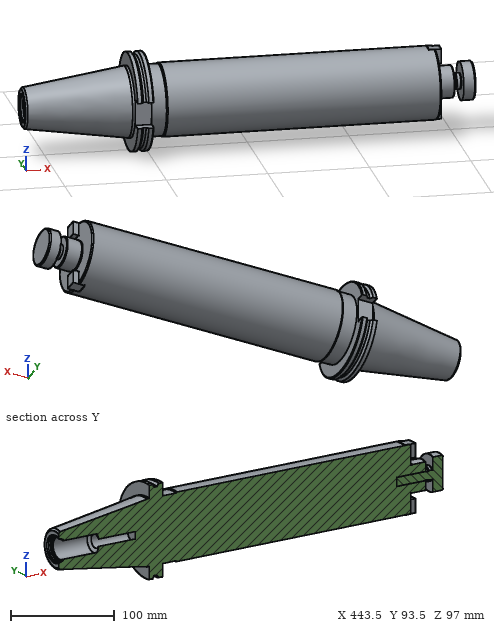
import cadquery as cq
import math

GAUGE_X = 102.0
FLANGE_START = 104.5
FLANGE_END = 120.5
GROOVE_CENTRE = 112.2
BODY_START = 135.5
BODY_END = 406.5
ARBOR_END = 423.5
COLLAR_START = 426.5
HEAD_START = 431.5
TOOL_END = 443.5

GAUGE_DIA = 70.0
TAPER_RATIO = 7 / 24
TAPER_EDGE = 1.8
PILOT_DIA = 25.0
PILOT_DEPTH = 5.5
THREAD_DIA = 22.0
THREAD_DEPTH = 44.5
THREAD_CONE = 2.0
BORE_DIA = 14.0
BORE_DEPTH = 88.7
MOUTH_DIA = 28.5
MOUTH_CHAMFER_DEPTH = 1.5
SOCKET_RECESS_DIA = 26.0
SOCKET_RECESS_DEPTH = 3.5

FLANGE_DIA = 97.0
FLANGE_CHAMFER = 1.0
GROOVE_DIA = 91.5
GROOVE_FLOOR = 2.5
GROOVE_WALL_ANGLE = 35
SLOT_WIDTH = 25.7
SLOT_FLOOR_FRONT = 35.5
SLOT_FLOOR_BACK = 37.5

SHANK_DIA = 70.5
BODY_DIA = 72.5
BODY_CHAMFER = 1.5
ARBOR_DIA = 32.0
ARBOR_CHAMFER = 1.0
UNDERCUT_DIA = 31.0
UNDERCUT_WIDTH = 1.5

KEY_LENGTH = 12.5
KEY_WIDTH = 12.0
KEY_START = 399.5
KEY_INNER = 21.0
KEY_OUTER = 35.5

SCREW_THREAD_DIA = 15.0
COLLAR_DIA = 16.0
COLLAR_BEVEL = 1.0
SCREW_START = 390.5
HEAD_DIA = 38.0
HEAD_CHAMFER = 1.5


def revolve_about_x(points):
    """Solid of revolution about X from (x, radius) points."""
    return cq.Workplane("XY").polyline(points).close().revolve(360, (0, 0, 0), (1, 0, 0))


def cylinder_x(start, end, diameter):
    return cq.Workplane("YZ", origin=(start, 0, 0)).circle(diameter / 2).extrude(end - start)


def make_blank():
    """Turned outline of the holder, before grooves, slots and holes."""
    small_radius = (GAUGE_DIA - GAUGE_X * TAPER_RATIO) / 2
    flange_radius = FLANGE_DIA / 2
    body_radius = BODY_DIA / 2
    arbor_radius = ARBOR_DIA / 2
    return revolve_about_x([
        (0, 0),
        (0, small_radius - TAPER_EDGE),
        (TAPER_EDGE, small_radius + TAPER_EDGE * TAPER_RATIO / 2),
        (GAUGE_X, GAUGE_DIA / 2),
        (GAUGE_X, SHANK_DIA / 2),
        (FLANGE_START, SHANK_DIA / 2),
        (FLANGE_START, flange_radius),
        (FLANGE_END - FLANGE_CHAMFER, flange_radius),
        (FLANGE_END, flange_radius - FLANGE_CHAMFER),
        (FLANGE_END, SHANK_DIA / 2),
        (BODY_START, SHANK_DIA / 2),
        (BODY_START + BODY_CHAMFER, body_radius),
        (BODY_END - BODY_CHAMFER, body_radius),
        (BODY_END, body_radius - BODY_CHAMFER),
        (BODY_END, UNDERCUT_DIA / 2),
        (BODY_END + UNDERCUT_WIDTH, UNDERCUT_DIA / 2),
        (BODY_END + UNDERCUT_WIDTH, arbor_radius),
        (ARBOR_END - ARBOR_CHAMFER, arbor_radius),
        (ARBOR_END, arbor_radius - ARBOR_CHAMFER),
        (ARBOR_END, 0),
    ])


def make_groove():
    """Ring with sloping walls that cuts the gripper groove."""
    floor_half = GROOVE_FLOOR / 2
    depth = (FLANGE_DIA - GROOVE_DIA) / 2
    top_half = floor_half + depth * math.tan(math.radians(GROOVE_WALL_ANGLE))
    return revolve_about_x([
        (GROOVE_CENTRE - floor_half, GROOVE_DIA / 2),
        (GROOVE_CENTRE - top_half, FLANGE_DIA / 2),
        (GROOVE_CENTRE + top_half, FLANGE_DIA / 2),
        (GROOVE_CENTRE + floor_half, GROOVE_DIA / 2),
    ])


def make_flange_slot(side, floor):
    """Drive slot through the flange on the given Y side (-1 or +1)."""
    depth = FLANGE_DIA / 2 - floor
    width = FLANGE_END - FLANGE_START
    centre = ((FLANGE_START + FLANGE_END) / 2, side * (floor + depth / 2), 0)
    return cq.Workplane("XY").box(width, depth, SLOT_WIDTH).translate(centre)


def make_socket():
    """Stepped draw-bar socket in the small end of the taper."""
    return revolve_about_x([
        (0, 0),
        (0, MOUTH_DIA / 2),
        (MOUTH_CHAMFER_DEPTH, SOCKET_RECESS_DIA / 2),
        (SOCKET_RECESS_DEPTH, SOCKET_RECESS_DIA / 2),
        (SOCKET_RECESS_DEPTH, PILOT_DIA / 2),
        (PILOT_DEPTH, PILOT_DIA / 2),
        (PILOT_DEPTH, THREAD_DIA / 2),
        (THREAD_DEPTH, THREAD_DIA / 2),
        (THREAD_DEPTH + THREAD_CONE, BORE_DIA / 2),
        (BORE_DEPTH, BORE_DIA / 2),
        (BORE_DEPTH, 0),
    ])


def make_key(side, outer=KEY_OUTER):
    """Drive key on the given Z side (-1 or +1), reaching out to the given distance from the axis."""
    height = outer - KEY_INNER
    centre = (KEY_START + KEY_LENGTH / 2, 0, side * (KEY_INNER + height / 2))
    return cq.Workplane("XY").box(KEY_LENGTH, KEY_WIDTH, height).translate(centre)


def make_screw():
    """Retaining screw: thread, bevelled collar and flat head."""
    thread_radius = SCREW_THREAD_DIA / 2
    collar_radius = COLLAR_DIA / 2
    head_radius = HEAD_DIA / 2
    return revolve_about_x([
        (SCREW_START, 0),
        (SCREW_START, thread_radius),
        (COLLAR_START, thread_radius),
        (COLLAR_START + COLLAR_BEVEL, collar_radius),
        (HEAD_START - COLLAR_BEVEL, collar_radius),
        (HEAD_START, thread_radius),
        (HEAD_START, head_radius),
        (TOOL_END - HEAD_CHAMFER, head_radius),
        (TOOL_END, head_radius - HEAD_CHAMFER),
        (TOOL_END, 0),
    ])


def make_holder():
    """Holder with its flange cuts, socket, key seats and screw hole."""
    holder = make_blank().cut(make_groove()).cut(make_socket())
    holder = holder.cut(make_flange_slot(-1, SLOT_FLOOR_FRONT))
    holder = holder.cut(make_flange_slot(1, SLOT_FLOOR_BACK))
    for side in (-1, 1):
        holder = holder.cut(make_key(side, outer=BODY_DIA / 2))
    return holder.cut(cylinder_x(SCREW_START, ARBOR_END, SCREW_THREAD_DIA))


holder = make_holder()
keys = [make_key(side) for side in (-1, 1)]
screw = make_screw()

result = cq.Compound.makeCompound([holder.val(), *[key.val() for key in keys], screw.val()])